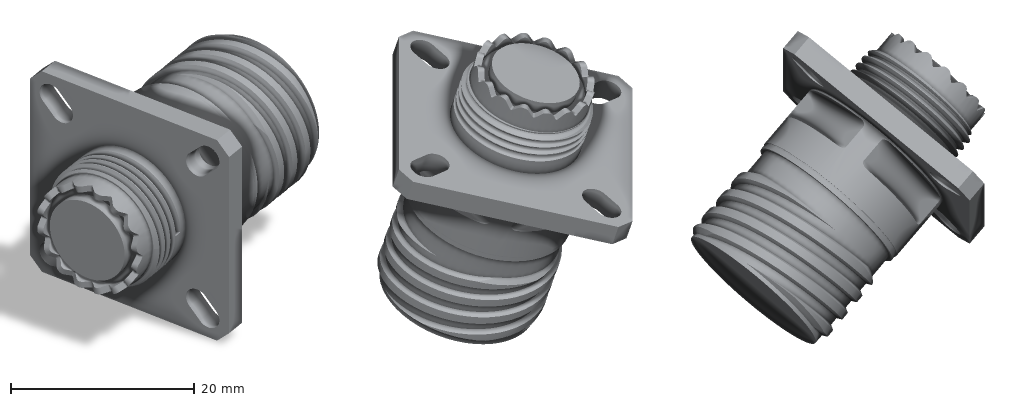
import cadquery as cq
import math


flange_side = 26.5
flange_thickness = 2.5
flange_corner_chamfer = 1.6
slot_width = 3.0
slot_length = 5.05
slot_offset = 9.73

barrel_radius = 9.45
barrel_step_radius = 9.35
neck_radius = 8.88
barrel_step_y = 10.33
neck_start_y = 11.02
front_end_y = 23.45

flat_distance = 7.5
flat_start_y = 2.7
flat_end_y = 6.6
flat_fillet = 0.5

coupling_start_y = 13.83
coupling_end_y = 23.0
coupling_lead = 7.5
coupling_starts = 3
coupling_crest_y = 21.07
coupling_crest_width = 0.95
coupling_base_width = 1.55

rear_thread_radius = 7.45
rear_root_radius = 6.85
rear_thread_end_radius = 6.93
rear_thread_end_y = -5.35
rear_pitch = 1.0
rear_groove_start_y = -1.45
rear_groove_start_angle = 90
rear_root_width = 0.2
rear_flank_angle = 30

rear_end_y = front_end_y - 31.5
ring_radius = 6.75
ring_bore_radius = 5.95
ring_bore_depth = 1.4
insert_radius = 4.98
notch_count = 16
notch_depth = 0.88
notch_floor_radius = 0.2
notch_tip_radius = 0.65

overlap = 0.3

axis_plane = cq.Plane(origin=(0, 0, 0), xDir=(0, 0, 1), normal=(0, 1, 0))


def revolved(profile):
    """Revolve (radius, y) points about the Y axis."""
    return cq.Workplane("XY").polyline(profile).close().revolve(360, (0, 0), (0, 1))


def helical_body(profile, path_radius, lead, height, start_y, start_angle):
    """Sweep (radius, height) points along a right-handed helix around the Y axis."""
    path = cq.Wire.makeHelix(lead, height, path_radius)
    swept = cq.Workplane("XZ").polyline(profile).close().sweep(cq.Workplane(path), isFrenet=True)
    placed = swept.rotate((0, 0, 0), (0, 0, 1), start_angle).translate((0, 0, start_y))
    return cq.Workplane(placed.val().moved(cq.Location(axis_plane)))


def make_body():
    end_chamfer = rear_thread_radius - rear_thread_end_radius
    floor_y = rear_end_y + ring_bore_depth
    return revolved([
        (0, front_end_y),
        (neck_radius, front_end_y),
        (neck_radius, neck_start_y),
        (barrel_step_radius, neck_start_y),
        (barrel_step_radius, barrel_step_y),
        (barrel_radius, barrel_step_y),
        (barrel_radius, 0),
        (rear_thread_radius, 0),
        (rear_thread_radius, rear_thread_end_y + end_chamfer),
        (rear_thread_end_radius, rear_thread_end_y),
        (ring_radius, rear_thread_end_y),
        (ring_radius, rear_end_y),
        (ring_bore_radius, rear_end_y),
        (ring_bore_radius, floor_y),
        (insert_radius, floor_y),
        (insert_radius, rear_end_y),
        (0, rear_end_y),
    ])


def make_flange():
    plate = (
        cq.Workplane("XZ")
        .rect(flange_side, flange_side)
        .extrude(-flange_thickness)
        .edges("|Y")
        .chamfer(flange_corner_chamfer)
    )
    for side_x in (-1, 1):
        for side_z in (-1, 1):
            slot = (
                cq.Workplane("XZ")
                .center(side_x * slot_offset, side_z * slot_offset)
                .slot2D(slot_length, slot_width, 45 * side_x * side_z)
                .extrude(-flange_thickness)
            )
            plate = plate.cut(slot)
    return plate


def cut_wrench_flats(body):
    flat_length = flat_end_y - flat_start_y
    depth = barrel_radius - flat_distance + overlap
    cutter = (
        cq.Workplane("XY")
        .box(2 * barrel_radius, flat_length, depth, centered=(True, False, False))
        .edges("|X and <Z")
        .fillet(flat_fillet)
        .translate((0, flat_start_y, flat_distance))
    )
    for angle in (45, 135, 225, 315):
        body = body.cut(cutter.rotate((0, 0, 0), (0, 1, 0), angle))
    return body


def make_coupling_thread():
    """Thread ridges, trimmed at both ends by 45 degree cones."""
    height = barrel_radius - neck_radius
    flank_slope = (coupling_base_width - coupling_crest_width) / 2 / height
    inner = neck_radius - overlap
    crest_half = coupling_crest_width / 2
    inner_half = coupling_base_width / 2 + overlap * flank_slope
    profile = [
        (inner, -inner_half),
        (barrel_radius, -crest_half),
        (barrel_radius, crest_half),
        (inner, inner_half),
    ]
    start_y = coupling_start_y - coupling_base_width
    end_y = coupling_end_y + coupling_base_width
    trim_inner = inner - overlap
    trim_outer = barrel_radius + overlap
    inner_step = neck_radius - trim_inner
    outer_step = trim_outer - neck_radius
    lower_trim = revolved([
        (trim_inner, start_y - coupling_base_width),
        (trim_outer, start_y - coupling_base_width),
        (trim_outer, coupling_start_y + outer_step),
        (trim_inner, coupling_start_y - inner_step),
    ])
    upper_trim = revolved([
        (trim_inner, end_y + coupling_base_width),
        (trim_outer, end_y + coupling_base_width),
        (trim_outer, coupling_end_y - outer_step),
        (trim_inner, coupling_end_y + inner_step),
    ])
    first_angle = 360 * (start_y - coupling_crest_y) / coupling_lead
    ridges = []
    for index in range(coupling_starts):
        angle = first_angle + index * 360 / coupling_starts
        ridge = helical_body(profile, neck_radius, coupling_lead, end_y - start_y, start_y, angle)
        ridges.append(ridge.cut(lower_trim).cut(upper_trim))
    return ridges


def cut_rear_thread(body):
    flank_slope = math.tan(math.radians(rear_flank_angle))
    outer = rear_thread_radius + overlap / 2
    root_half = rear_root_width / 2
    outer_half = root_half + (outer - rear_root_radius) * flank_slope
    profile = [
        (rear_root_radius, -root_half),
        (outer, -outer_half),
        (outer, outer_half),
        (rear_root_radius, root_half),
    ]
    turns = math.ceil((rear_groove_start_y - rear_thread_end_y) / rear_pitch)
    sweep_height = turns * rear_pitch
    start_y = rear_groove_start_y - sweep_height
    groove = helical_body(
        profile, rear_root_radius, rear_pitch, sweep_height, start_y, rear_groove_start_angle
    )
    return body.cut(groove)


def cut_teeth(body):
    """Radial notches with a rounded floor, 45 degree flanks and rounded tips."""
    half = math.sqrt(0.5)
    floor_y = rear_end_y + notch_depth
    floor_half = notch_floor_radius * half
    floor_rise = notch_floor_radius * (1 - half)
    tip_rise = notch_tip_radius * (1 - half)
    flank = notch_depth - floor_rise - tip_rise
    tip_start = floor_half + flank
    tip_end = tip_start + notch_tip_radius * half
    middle = math.radians(45 / 2)
    tip_middle = tip_end - notch_tip_radius * math.sin(middle)
    tip_middle_y = rear_end_y + notch_tip_radius * (1 - math.cos(middle))
    length = ring_radius - ring_bore_radius + overlap
    notch = (
        cq.Workplane("XY", origin=(0, 0, ring_bore_radius - overlap / 2))
        .moveTo(-tip_end, rear_end_y)
        .threePointArc((-tip_middle, tip_middle_y), (-tip_start, rear_end_y + tip_rise))
        .lineTo(-floor_half, floor_y - floor_rise)
        .threePointArc((0, floor_y), (floor_half, floor_y - floor_rise))
        .lineTo(tip_start, rear_end_y + tip_rise)
        .threePointArc((tip_middle, tip_middle_y), (tip_end, rear_end_y))
        .close()
        .extrude(length)
    )
    for index in range(notch_count):
        body = body.cut(notch.rotate((0, 0, 0), (0, 1, 0), index * 360 / notch_count))
    return body


body = cut_wrench_flats(make_body())
body = cut_rear_thread(body)
body = cut_teeth(body)
body = body.union(make_flange())
for ridge in make_coupling_thread():
    body = body.union(ridge)
result = body